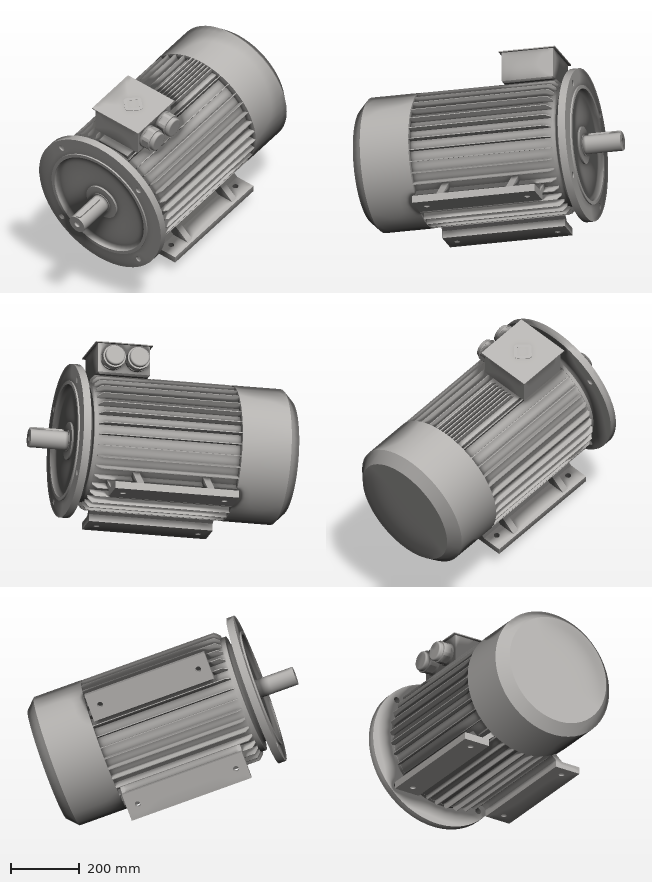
import cadquery as cq
import math


FLANGE_DIA = 450.0
FLANGE_THICKNESS = 22.0
SPIGOT_DIA = 350.0
SPIGOT_HEIGHT = 5.0
RECESS_DIA = 330.0
RECESS_FILLET = 10.0
RECESS_DEPTH = 17.0
BOSS_DIA = 110.0
BOSS_HEIGHT = 6.0
SHAFT_COLLAR_DIA = 62.0
SHAFT_COLLAR_HEIGHT = 2.0
NECK_DIA = 300.0
NECK_LENGTH = 21.5
NECK_FILLET = 8.0
COLLAR_DIA = 352.0
COLLAR_LENGTH = 11.0
FLANGE_HOLE_DIA = 19.0
FLANGE_HOLE_CIRCLE = 400.5

OVERALL_LENGTH = 770.0
SHAFT_DIA = 55.0
SHAFT_LENGTH = 109.0
SHAFT_CENTRE_DIA = 19.0
SHAFT_CENTRE_DEPTH = 23.0
DRILL_POINT_ANGLE = 118
KEY_WIDTH = 16.0
KEY_TOP = 31.5
KEY_TIP_GAP = 2.0

BARREL_DIA = 350.0
FIN_DIA = 396.0
FIN_THICKNESS = 2.0
FIN_STEP_ANGLE = 10
FIN_FRONT = 58.0
FIN_CHAMFER = 14.0
FIN_ROOT_OVERLAP = 4.0
COWL_DIA = 397.0
COWL_START = 483.5
COWL_CHAMFER_LENGTH = 30.0
COWL_END_DIA = 336.5

PAD_WIDTH = 106.0
PAD_TOP = 179.5
PAD_FRONT = 62.0
TOP_FIN_PITCH = 11.9
TOP_FIN_COUNT = 7
TOP_FIN_THICKNESS = 3.0
TOP_FIN_TOP = 197.0

BOX_CENTRE_Y = 157.0
BOX_SIDE = 155.5
BOX_BOTTOM = 194.0
BOX_BASE_TAPER = 5.5
LID_SIDE = 171.0
LID_BOTTOM = 282.0
LID_TOP = 285.0
BADGE_SIDE = 51.5
BADGE_CORNER = 10.0
BADGE_HEIGHT = 1.5
BADGE_RIM = 9.0
BADGE_RECESS = 1.0

GLAND_SPACING = 73.0
GLAND_Z = 234.0
GLAND_DIA = 67.0
GLAND_FLATS = 62.0
GLAND_COLLAR = 7.0
GLAND_FLAT_LENGTH = 23.0
GLAND_RIM = 3.0
GLAND_CAP_DIA = 58.0
GLAND_CAP_LENGTH = 13.0
GLAND_CAP_FILLET = 5.0

AXIS_HEIGHT = 201.0
FOOT_OUTER_X = 199.5
FOOT_INNER_X = 117.0
FOOT_THICKNESS = 21.5
FOOT_FRONT = 100.0
FOOT_LENGTH = 372.0
FOOT_HOLE_DIA = 17.0
FOOT_HOLE_X = 159.0
FOOT_HOLE_SPACING = 305.0
WEB_WIDTH = 22.0
RIB_SETBACK = 8.0
RIB_THICKNESS = 21.0
RIB_SPACING = 211.0
SLOPE_RUN = 51.0
SLOPE_RISE = 44.0
RIB_RUN_FACTOR = 1.5

NECK_END = FLANGE_THICKNESS + NECK_LENGTH
COLLAR_END = NECK_END + COLLAR_LENGTH
MOTOR_END = OVERALL_LENGTH - SHAFT_LENGTH
COWL_CHAMFER_START = MOTOR_END - COWL_CHAMFER_LENGTH
RECESS_FLOOR = RECESS_DEPTH - SPIGOT_HEIGHT


def rod(diameter, y_start, y_end):
    """Cylinder on the shaft axis."""
    plane = cq.Workplane("XZ", origin=(0, y_start, 0))
    return plane.circle(diameter / 2).extrude(y_start - y_end)


def make_housing():
    """Spigot, flange, filleted neck, collar, barrel and fan cowl as one turned body."""
    neck_radius = NECK_DIA / 2
    neck_edge = neck_radius + NECK_FILLET
    arc_offset = NECK_FILLET * (1 - math.sqrt(0.5))
    profile = (
        cq.Workplane("XY")
        .moveTo(0, -SPIGOT_HEIGHT)
        .lineTo(SPIGOT_DIA / 2, -SPIGOT_HEIGHT)
        .lineTo(SPIGOT_DIA / 2, 0)
        .lineTo(FLANGE_DIA / 2, 0)
        .lineTo(FLANGE_DIA / 2, FLANGE_THICKNESS)
        .lineTo(neck_edge, FLANGE_THICKNESS)
        .threePointArc(
            (neck_radius + arc_offset, FLANGE_THICKNESS + arc_offset),
            (neck_radius, FLANGE_THICKNESS + NECK_FILLET),
        )
        .lineTo(neck_radius, NECK_END - NECK_FILLET)
        .threePointArc(
            (neck_radius + arc_offset, NECK_END - arc_offset),
            (neck_edge, NECK_END),
        )
        .lineTo(COLLAR_DIA / 2, NECK_END)
        .lineTo(COLLAR_DIA / 2, COLLAR_END)
        .lineTo(BARREL_DIA / 2, COLLAR_END)
        .lineTo(BARREL_DIA / 2, COWL_START)
        .lineTo(COWL_DIA / 2, COWL_START)
        .lineTo(COWL_DIA / 2, COWL_CHAMFER_START)
        .lineTo(COWL_END_DIA / 2, MOTOR_END)
        .lineTo(0, MOTOR_END)
        .close()
    )
    return profile.revolve(360, (0, 0, 0), (0, 1, 0))


def make_flange_recess():
    """Round-bottomed recess cut into the spigot face."""
    recess = rod(RECESS_DIA, -SPIGOT_HEIGHT, RECESS_FLOOR)
    return recess.faces(">Y").edges().fillet(RECESS_FILLET)


def make_flange_holes():
    pitch = FLANGE_HOLE_CIRCLE * math.sqrt(0.5)
    plane = cq.Workplane("XZ").rect(pitch, pitch, forConstruction=True).vertices()
    return plane.circle(FLANGE_HOLE_DIA / 2).extrude(-FLANGE_THICKNESS)


def make_shaft():
    """Shaft with its boss, collar, key and drilled centre hole."""
    boss_face = RECESS_FLOOR - BOSS_HEIGHT
    boss = rod(BOSS_DIA, boss_face, RECESS_FLOOR)
    collar = rod(SHAFT_COLLAR_DIA, boss_face - SHAFT_COLLAR_HEIGHT, RECESS_FLOOR)
    shaft = rod(SHAFT_DIA, -SHAFT_LENGTH, RECESS_FLOOR)
    key_start = KEY_TIP_GAP - SHAFT_LENGTH
    key_length = -SPIGOT_HEIGHT - key_start
    key = (
        cq.Workplane("XY", origin=(0, key_start + key_length / 2, 0))
        .slot2D(key_length, KEY_WIDTH, 90)
        .extrude(KEY_TOP)
    )
    hole_radius = SHAFT_CENTRE_DIA / 2
    hole_end = SHAFT_CENTRE_DEPTH - SHAFT_LENGTH
    point_length = hole_radius / math.tan(math.radians(DRILL_POINT_ANGLE / 2))
    hole_profile = [
        (0, -SHAFT_LENGTH),
        (hole_radius, -SHAFT_LENGTH),
        (hole_radius, hole_end),
        (0, hole_end + point_length),
    ]
    hole = cq.Workplane("XY").polyline(hole_profile).close().revolve(360, (0, 0, 0), (0, 1, 0))
    return boss.union(collar).union(shaft).union(key).cut(hole)


def make_radial_fins():
    """Fins every 10 degrees, left out where the top pad sits, bevelled at the front."""
    root = BARREL_DIA / 2 - FIN_ROOT_OVERLAP
    tip = FIN_DIA / 2
    fin = (
        cq.Workplane("XY", origin=(0, 0, -FIN_THICKNESS / 2))
        .moveTo(root, FIN_FRONT)
        .lineTo(tip - FIN_CHAMFER, FIN_FRONT)
        .lineTo(tip, FIN_FRONT + FIN_CHAMFER)
        .lineTo(tip, COWL_START)
        .lineTo(root, COWL_START)
        .close()
        .extrude(FIN_THICKNESS)
    )
    fins = cq.Workplane("XY")
    for angle in range(0, 360, FIN_STEP_ANGLE):
        if abs(angle - 90) > FIN_STEP_ANGLE:
            fins.add(fin.rotate((0, 0, 0), (0, 1, 0), -angle))
    return fins


def make_top_pad():
    """Flat pad with parallel upright fins that slope down to the terminal box."""
    pad_length = COWL_START - PAD_FRONT
    pad = (
        cq.Workplane("XY", origin=(0, PAD_FRONT + pad_length / 2, 0))
        .rect(PAD_WIDTH, pad_length)
        .extrude(PAD_TOP)
    )
    box_rear = BOX_CENTRE_Y + BOX_SIDE / 2
    fin_profile = [
        (box_rear, PAD_TOP),
        (box_rear + TOP_FIN_TOP - PAD_TOP, TOP_FIN_TOP),
        (COWL_START, TOP_FIN_TOP),
        (COWL_START, PAD_TOP),
    ]
    fin = cq.Workplane("YZ").polyline(fin_profile).close().extrude(TOP_FIN_THICKNESS / 2, both=True)
    for index in range(TOP_FIN_COUNT):
        x = (index - (TOP_FIN_COUNT - 1) / 2) * TOP_FIN_PITCH
        pad = pad.union(fin.translate((x, 0, 0)))
    return pad


def make_terminal_box():
    """Bevelled square box on a pedestal, with an overhanging lid and a diamond badge frame."""
    def square(side, z):
        return cq.Workplane("XY", origin=(0, BOX_CENTRE_Y, z)).rect(side, side)

    def diamond(side, corner, z, height):
        plate = cq.Workplane("XY").rect(side, side).extrude(height).edges("|Z").fillet(corner)
        return plate.rotate((0, 0, 0), (0, 0, 1), 45).translate((0, BOX_CENTRE_Y, z))

    taper_bottom = BOX_BOTTOM - BOX_BASE_TAPER
    body = square(BOX_SIDE, taper_bottom).extrude(LID_BOTTOM - taper_bottom)
    body = body.faces("<Z").chamfer(BOX_BASE_TAPER)
    pedestal = square(PAD_WIDTH, PAD_TOP).extrude(taper_bottom - PAD_TOP)
    lid = square(LID_SIDE, LID_BOTTOM).extrude(LID_TOP - LID_BOTTOM)
    badge = diamond(BADGE_SIDE, BADGE_CORNER, LID_TOP, BADGE_HEIGHT)
    badge_recess = diamond(
        BADGE_SIDE - 2 * BADGE_RIM,
        BADGE_CORNER - BADGE_RIM,
        LID_TOP + BADGE_HEIGHT - BADGE_RECESS,
        BADGE_RECESS,
    )
    return body.union(pedestal).union(lid).union(badge.cut(badge_recess))


def make_gland(y):
    """Cable gland: round collar, six wrench flats, thin rim and a rounded cap."""
    def disc(diameter, start, length):
        plane = cq.Workplane("YZ", origin=(start, y, GLAND_Z))
        return plane.circle(diameter / 2).extrude(length)

    wall = BOX_SIDE / 2
    flats_start = wall + GLAND_COLLAR
    rim_start = flats_start + GLAND_FLAT_LENGTH
    cap_start = rim_start + GLAND_RIM
    hexagon = (
        cq.Workplane("YZ", origin=(flats_start, y, GLAND_Z))
        .polygon(6, GLAND_FLATS, circumscribed=True)
        .extrude(GLAND_FLAT_LENGTH)
    )
    collar = disc(GLAND_DIA, wall, GLAND_COLLAR)
    nut = disc(GLAND_DIA, flats_start, GLAND_FLAT_LENGTH).intersect(hexagon)
    rim = disc(GLAND_DIA, rim_start, GLAND_RIM)
    cap = disc(GLAND_CAP_DIA, cap_start, GLAND_CAP_LENGTH)
    cap = cap.faces(">X").edges().fillet(GLAND_CAP_FILLET)
    return collar.union(nut).union(rim).union(cap)


def make_foot():
    """Foot on the -X side: base plate, sloping web into the barrel, two ribs, two holes."""
    foot_top = FOOT_THICKNESS - AXIS_HEIGHT
    foot_middle = FOOT_FRONT + FOOT_LENGTH / 2
    web_outer_x = FOOT_INNER_X + WEB_WIDTH
    rib_outer_x = FOOT_OUTER_X - RIB_SETBACK

    def prism(profile, y_middle, length):
        plane = cq.Workplane("XZ", origin=(0, y_middle, 0))
        return plane.polyline(profile).close().extrude(length / 2, both=True)

    web_profile = [
        (-FOOT_INNER_X, -AXIS_HEIGHT),
        (-FOOT_OUTER_X, -AXIS_HEIGHT),
        (-FOOT_OUTER_X, foot_top),
        (-web_outer_x, foot_top),
        (-web_outer_x + SLOPE_RUN, foot_top + SLOPE_RISE),
        (-FOOT_INNER_X + SLOPE_RUN, foot_top + SLOPE_RISE),
        (-FOOT_INNER_X, foot_top),
    ]
    rib_profile = [
        (-web_outer_x, foot_top),
        (-rib_outer_x, foot_top),
        (-rib_outer_x + RIB_RUN_FACTOR * SLOPE_RUN, foot_top + RIB_RUN_FACTOR * SLOPE_RISE),
        (-web_outer_x + SLOPE_RUN, foot_top + SLOPE_RISE),
    ]
    foot = prism(web_profile, foot_middle, FOOT_LENGTH)
    for side in (-1, 1):
        foot = foot.union(prism(rib_profile, foot_middle + side * RIB_SPACING / 2, RIB_THICKNESS))
    holes = (
        cq.Workplane("XY", origin=(-FOOT_HOLE_X, foot_middle, -AXIS_HEIGHT))
        .rarray(8, FOOT_HOLE_SPACING, 1, 2)
        .circle(FOOT_HOLE_DIA / 2)
        .extrude(FOOT_THICKNESS)
    )
    return foot.cut(holes)


motor = make_housing().cut(make_flange_recess()).cut(make_flange_holes())
motor = motor.union(make_shaft())
for fin in make_radial_fins().vals():
    motor = motor.union(cq.Workplane(fin))
motor = motor.union(make_top_pad()).union(make_terminal_box())
for direction in (-1, 1):
    motor = motor.union(make_gland(BOX_CENTRE_Y + direction * GLAND_SPACING / 2))
foot = make_foot()
motor = motor.union(foot).union(foot.mirror("YZ"))

result = motor